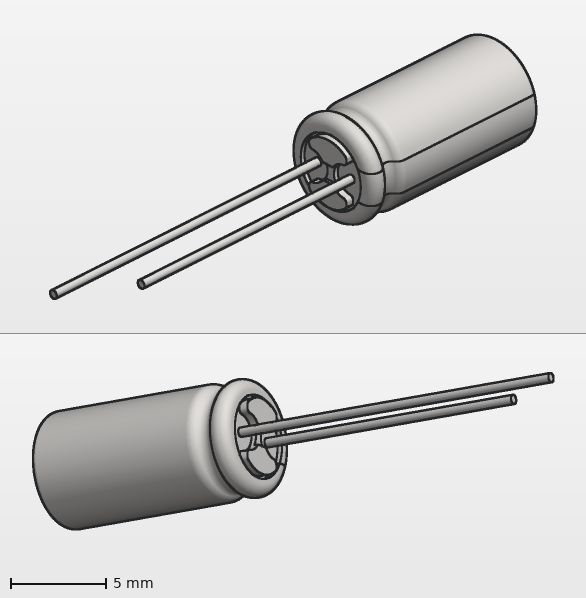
import cadquery as cq
import math


can_radius = 3.15
can_end = 12.5
end_fillet = 0.4
rim_y = 0.22
bead_radius = 0.63
groove_radius = 2.68
groove_y = 1.75
groove_half_width = 0.38

recess_radius = 2.25
recess_depth = 0.28
foot_radius = 2.05
foot_half_width = 1.4
foot_inner_z = 0.55
foot_corner_fillet = 0.25
lead_clearance_radius = 1.0

stripe_half_width = 0.98

lead_radius = 0.25
lead_offset = 1.245
long_lead_length = 19.0
short_lead_length = 15.0

floor_y = rim_y + recess_depth
bead_center_radius = can_radius - bead_radius
bead_center_y = rim_y + bead_radius
shoulder_center_y = 2 * groove_y - bead_center_y
groove_start_y = groove_y - groove_half_width
groove_end_y = groove_y + groove_half_width
groove_edge_radius = bead_center_radius + math.sqrt(
    bead_radius**2 - (groove_start_y - bead_center_y) ** 2
)


def cylinder(radius, start_y, end_y, x=0):
    """Cylinder parallel to Y between two Y positions."""
    return (
        cq.Workplane("XZ", origin=(x, start_y, 0))
        .circle(radius)
        .extrude(start_y - end_y)
    )


def block(x_range, y_range, z_range):
    """Axis-aligned box given by its limits."""
    corner = (x_range[0], y_range[0], z_range[0])
    size = [limits[1] - limits[0] for limits in (x_range, y_range, z_range)]
    return cq.Workplane("XY").box(*size, centered=False).translate(corner)


def make_envelope():
    """Beaded can, still including its stripe, with the base recess open."""
    shoulder_mid_angle = math.asin((shoulder_center_y - groove_end_y) / bead_radius) / 2
    shoulder_mid = (
        bead_center_radius + bead_radius * math.cos(shoulder_mid_angle),
        shoulder_center_y - bead_radius * math.sin(shoulder_mid_angle),
    )
    profile = (
        cq.Workplane("XY")
        .moveTo(0, rim_y)
        .lineTo(bead_center_radius, rim_y)
        .threePointArc((can_radius, bead_center_y), (groove_edge_radius, groove_start_y))
        .threePointArc((groove_radius, groove_y), (groove_edge_radius, groove_end_y))
        .threePointArc(shoulder_mid, (can_radius, shoulder_center_y))
        .lineTo(can_radius, can_end - end_fillet)
        .radiusArc((can_radius - end_fillet, can_end), -end_fillet)
        .lineTo(0, can_end)
        .close()
    )
    solid = profile.revolve(360, (0, 0, 0), (0, 1, 0))
    return solid.cut(cylinder(recess_radius, rim_y, floor_y))


def make_stripe(envelope):
    """Flat-sided strip of the can wall on the +X side, over the full length."""
    strip = block(
        (0, can_radius), (rim_y, can_end), (-stripe_half_width, stripe_half_width)
    )
    return envelope.intersect(strip).cut(cylinder(recess_radius, rim_y, can_end))


def make_foot(side):
    """Raised foot of the base, above (side=1) or below (side=-1) the leads."""
    z_limits = sorted((side * foot_inner_z, side * foot_radius))
    foot = cylinder(foot_radius, 0, floor_y).intersect(
        block((-foot_half_width, foot_half_width), (0, floor_y), z_limits)
    )
    for x in (-lead_offset, lead_offset):
        foot = foot.cut(cylinder(lead_clearance_radius, 0, floor_y, x))
    side_faces = foot.faces("<X or >X")
    return side_faces.edges("|Y").fillet(foot_corner_fillet)


def make_bridge():
    """Web level with the rim, joining the feet between the leads."""
    bridge = block(
        (-lead_offset, lead_offset), (rim_y, floor_y), (-foot_inner_z, foot_inner_z)
    )
    for x in (-lead_offset, lead_offset):
        bridge = bridge.cut(cylinder(lead_clearance_radius, rim_y, floor_y, x))
    return bridge


def make_can(envelope, stripe):
    can = envelope.cut(stripe).union(make_bridge())
    for side in (-1, 1):
        can = can.union(make_foot(side))
    return can


def make_lead(x, length):
    """Straight wire standing on the floor of the base recess."""
    return cylinder(lead_radius, -length, floor_y, x)


envelope = make_envelope()
stripe = make_stripe(envelope)
can = make_can(envelope, stripe)
leads = [
    make_lead(x, length)
    for x, length in ((-lead_offset, long_lead_length), (lead_offset, short_lead_length))
]

result = cq.Compound.makeCompound(
    [can.solids().val(), stripe.solids().val(), *[lead.val() for lead in leads]]
)